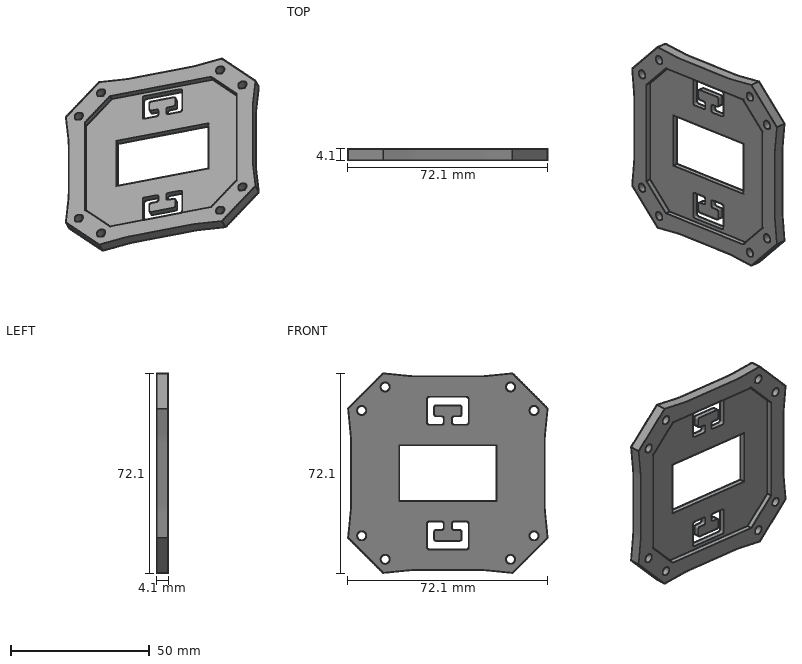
import cadquery as cq
import math

thickness = 4.1
flat_side_distance = 35.0
corner_edge_distance = 42.0
corner_edge_length = 18.0
side_bend_offset = 12.65
side_bend_radius = 30.0

hole_diameter = 3.2
hole_edge_margin = 4.0
hole_spacing = 12.0

web_thickness = 2.1
side_rim_width = 6.1
corner_rim_width = 2 * hole_edge_margin

window_width = 35.0
window_height = 20.0

slot_width = 15.0
slot_height = 10.0
slot_bottom = 17.5
tongue_head_width = 10.0
tongue_head_height = 4.0
tongue_neck_width = 3.0
tongue_neck_height = 3.0
slot_corner_radius = 0.8


def on_diagonal(distance, along):
    """Point at a distance out along the +X+Z diagonal, shifted sideways towards +X."""
    return ((distance + along) / math.sqrt(2), (distance - along) / math.sqrt(2))


def back_face():
    """XZ workplane on the +Y face, with its normal along -Y."""
    return cq.Workplane("XZ", origin=(0, thickness / 2, 0))


def make_plate():
    far, near = on_diagonal(corner_edge_distance, corner_edge_length / 2)
    flare_angle = math.atan2(far - flat_side_distance, near - side_bend_offset)
    bend_tangent = side_bend_radius * math.tan(flare_angle / 2)
    flat_end = side_bend_offset - bend_tangent
    flare_start = side_bend_offset + bend_tangent * math.cos(flare_angle)
    flare_height = flat_side_distance + bend_tangent * math.sin(flare_angle)

    outline = back_face().moveTo(-near, far)
    for cos_turn, sin_turn in [(1, 0), (0, -1), (-1, 0), (0, 1)]:

        def turned(x, z):
            return (x * cos_turn - z * sin_turn, x * sin_turn + z * cos_turn)

        outline = (
            outline.lineTo(*turned(-flare_start, flare_height))
            .tangentArcPoint(turned(-flat_end, flat_side_distance), relative=False)
            .lineTo(*turned(flat_end, flat_side_distance))
            .tangentArcPoint(turned(flare_start, flare_height), relative=False)
            .lineTo(*turned(near, far))
            .lineTo(*turned(far, near))
        )
    return outline.close().extrude(thickness)


def make_holes():
    hole_distance = corner_edge_distance - hole_edge_margin
    far, near = on_diagonal(hole_distance, hole_spacing / 2)
    centres = []
    for x_side in (-1, 1):
        for z_side in (-1, 1):
            centres.append((x_side * far, z_side * near))
            centres.append((x_side * near, z_side * far))
    return back_face().pushPoints(centres).circle(hole_diameter / 2).extrude(thickness)


def make_recess():
    far = flat_side_distance - side_rim_width
    near = (corner_edge_distance - corner_rim_width) * math.sqrt(2) - far
    octagon = [
        (-near, far),
        (near, far),
        (far, near),
        (far, -near),
        (near, -far),
        (-near, -far),
        (-far, -near),
        (-far, near),
    ]
    return back_face().polyline(octagon).close().extrude(thickness - web_thickness)


def make_window():
    return back_face().rect(window_width, window_height).extrude(thickness)


def make_upper_slot():
    slot_top = slot_bottom + slot_height
    head_bottom = slot_bottom + tongue_neck_height
    head_top = head_bottom + tongue_head_height
    right_half = [
        (tongue_head_width / 2, head_top),
        (tongue_head_width / 2, head_bottom),
        (tongue_neck_width / 2, head_bottom),
        (tongue_neck_width / 2, slot_bottom),
        (slot_width / 2, slot_bottom),
        (slot_width / 2, slot_top),
    ]
    left_half = [(-x, z) for x, z in reversed(right_half)]
    slot = back_face().polyline(right_half + left_half).close().extrude(thickness)
    return slot.edges("|Y").fillet(slot_corner_radius)


result = make_plate()
result = result.cut(make_holes())
result = result.cut(make_recess())
result = result.cut(make_window())

upper_slot = make_upper_slot()
for slot in (upper_slot, upper_slot.mirror("XY")):
    result = result.cut(slot)